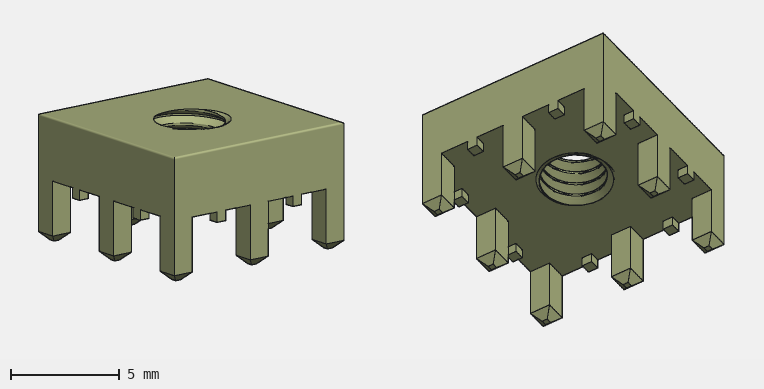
import cadquery as cq
import math

side = 10.0
body_height = 3.0
top_edge_radius = 0.1

leg_width = 1.06
leg_length = 3.0
leg_tip_chamfer = 0.39
foot_width = 0.52
foot_length = 0.5

major_radius = 2.0
minor_radius = 1.57
pitch = 0.7
root_flat = pitch / 8
flank_angle = 30.0
flank_points = 24

leg_offset = (side - leg_width) / 2
foot_along = leg_offset / 2
foot_offset = (side - foot_width) / 2


def make_body():
    block = cq.Workplane("XY").box(side, side, body_height, centered=(True, True, False))
    return block.faces(">Z").edges().fillet(top_edge_radius)


def make_posts(points, width, length):
    """Square posts hanging down from the underside, centred on the given points."""
    return cq.Workplane("XY").pushPoints(points).rect(width, width).extrude(-length)


def make_legs():
    steps = (-leg_offset, 0, leg_offset)
    points = [(x, y) for x in steps for y in steps if (x, y) != (0, 0)]
    return make_posts(points, leg_width, leg_length).faces("<Z").chamfer(leg_tip_chamfer)


def make_feet():
    points = []
    for along in (-foot_along, foot_along):
        for outward in (-foot_offset, foot_offset):
            points += [(along, outward), (outward, along)]
    return make_posts(points, foot_width, foot_length)


def polar_point(radius, degrees):
    angle = math.radians(degrees)
    return (radius * math.cos(angle), radius * math.sin(angle))


def make_threaded_bore():
    """Bore and thread as one cutter: its level cross-section turned once per pitch of height."""
    degrees_per_unit = 360 / pitch
    thread_depth = major_radius - minor_radius
    root_end = degrees_per_unit * root_flat / 2
    flank_sweep = degrees_per_unit * thread_depth * math.tan(math.radians(flank_angle))
    crest_start = root_end + flank_sweep

    def flank_point(t):
        return polar_point(major_radius - t * thread_depth, root_end + t * flank_sweep)

    def return_flank_point(t):
        return polar_point(minor_radius + t * thread_depth, -crest_start + t * flank_sweep)

    outline = (
        cq.Workplane("XY")
        .moveTo(*polar_point(major_radius, -root_end))
        .threePointArc((major_radius, 0), polar_point(major_radius, root_end))
        .parametricCurve(flank_point, N=flank_points, makeWire=False)
        .moveTo(*polar_point(minor_radius, crest_start))
        .threePointArc((-minor_radius, 0), polar_point(minor_radius, -crest_start))
        .parametricCurve(return_flank_point, N=flank_points, makeWire=False)
        .consolidateWires()
    )
    turn = degrees_per_unit * body_height
    return outline.twistExtrude(body_height, turn).rotate((0, 0, 0), (0, 0, 1), -turn - root_end)


result = make_body().union(make_legs()).union(make_feet()).cut(make_threaded_bore())